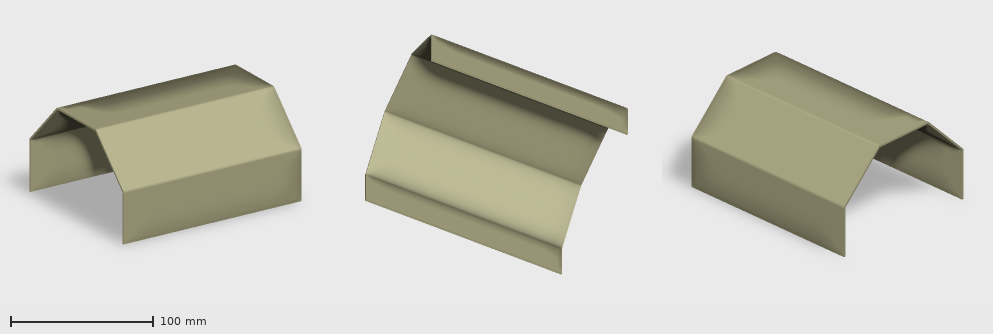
import cadquery as cq

length = 150.0
width = 120.8
height = 75.3
top_width = 50.0
sheet_thickness = 1.5
inner_bend_radius = 1.5

outer_bend_radius = inner_bend_radius + sheet_thickness
half_width = width / 2
half_top = top_width / 2
leg_height = height - (half_width - half_top)

outer_path = [
    (-half_width, 0),
    (-half_width, leg_height),
    (-half_top, height),
    (half_top, height),
    (half_width, leg_height),
    (half_width, 0),
]


def make_sheet():
    """Sharp-cornered sheet of even thickness, running along Y and centred on it."""
    outer_face = cq.Workplane("XZ", origin=(0, length / 2, 0)).polyline(outer_path)
    inner_outline = outer_face.close().offset2D(-sheet_thickness, "intersection")
    solid = cq.Workplane("XZ", origin=(0, length / 2, 0)).polyline(outer_path).close().extrude(length)
    cavity = inner_outline.extrude(length)
    inner_width = width - 2 * sheet_thickness
    opening = cq.Workplane("XY").box(inner_width, length, 2 * sheet_thickness)
    return solid.cut(cavity).cut(opening)


def bend_edges(x, z):
    """Selector for the two lengthwise edges at mirrored bend corners."""
    margin = sheet_thickness / 10
    left = cq.selectors.BoxSelector((-x - margin, -length, z - margin), (-x + margin, length, z + margin))
    right = cq.selectors.BoxSelector((x - margin, -length, z - margin), (x + margin, length, z + margin))
    return left + right


def round_bends(sheet):
    """Round the outer and inner edges of all four bends about common centres."""
    mitre_shift = sheet_thickness * (2**0.5 - 1)
    outer = bend_edges(half_top, height) + bend_edges(half_width, leg_height)
    inner = bend_edges(half_top - mitre_shift, height - sheet_thickness) + bend_edges(
        half_width - sheet_thickness, leg_height - mitre_shift
    )
    sheet = sheet.edges("|Y").edges(outer).fillet(outer_bend_radius)
    return sheet.edges("|Y").edges(inner).fillet(inner_bend_radius)


result = round_bends(make_sheet())